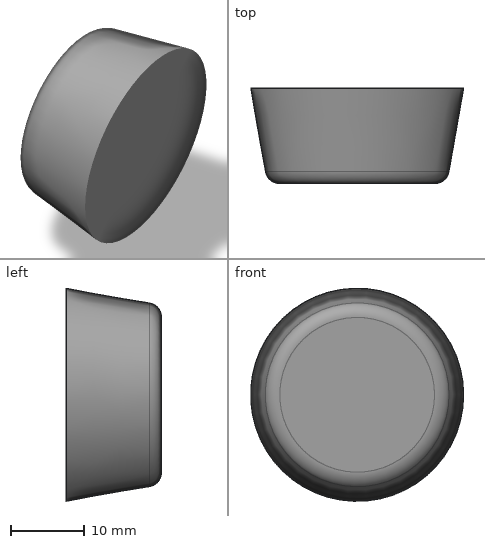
import cadquery as cq
import math

rim_diameter = 29.0
depth = 13.0
draft_angle = 10.0
edge_radius = 2.0

rim_radius = rim_diameter / 2
front_radius = rim_radius - depth * math.tan(math.radians(draft_angle))

half_section = (
    cq.Workplane("XY")
    .moveTo(0, 0)
    .lineTo(front_radius, 0)
    .lineTo(rim_radius, depth)
    .lineTo(0, depth)
    .close()
)
body = half_section.revolve(360, (0, 0, 0), (0, 1, 0))

result = body.faces("<Y").edges().fillet(edge_radius)